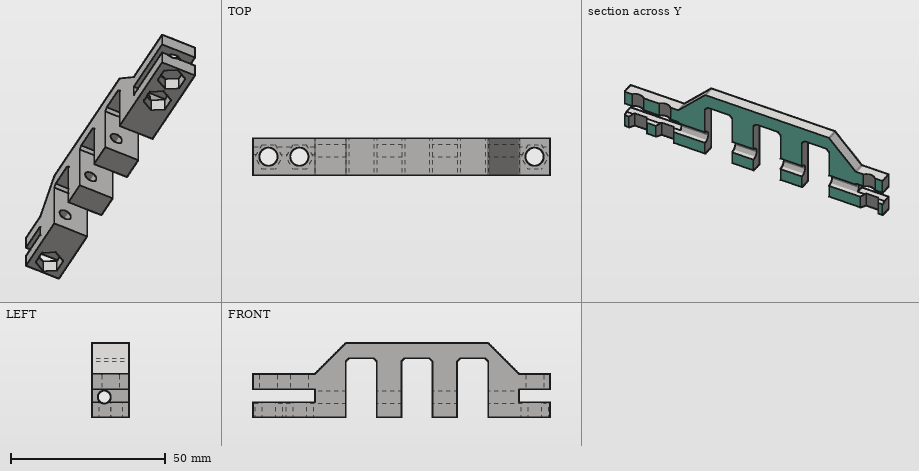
import math

import cadquery as cq

length = 96.0
width = 12.0

arm_thickness = 5.0
slot_height = 4.1
slot_top = arm_thickness + slot_height
end_height = slot_top + arm_thickness
bridge_rise = 10.0
height = end_height + bridge_rise

left_arm_length = 20.0
right_arm_length = 10.0
shoulder_run = bridge_rise
shoulder_radius = 0.5
bridge_start = left_arm_length + shoulder_run
bridge_end = length - right_arm_length - shoulder_run

window_count = 3
window_width = 10.0
bridge_thickness = 5.0
window_top = height - bridge_thickness
window_corner_chamfer = 1.0
window_pitch = (bridge_end - bridge_start - window_width) / (window_count - 1)

bolt_diameter = 5.8
nut_across_flats = 7.7
nut_sides = 6
nut_across_corners = nut_across_flats / math.cos(math.pi / nut_sides)
bolt_edge_distance = 5.0
bolt_spacing = 10.0
bolt_positions = [
    bolt_edge_distance,
    bolt_edge_distance + bolt_spacing,
    length - bolt_edge_distance,
]

rod_diameter = 4.1
rod_y = 2.0
rod_z = 6.6


def make_box(x_start, x_end, z_start, z_end):
    """Box across the full width, between the given X and Z limits."""
    box = cq.Workplane("XY").box(x_end - x_start, width, z_end - z_start, centered=(False, True, False))
    return box.translate((x_start, 0, z_start))


def make_body():
    """Solid side profile, with the ends of both shoulders slightly rounded."""
    outline = [
        (0, 0),
        (length, 0),
        (length, end_height),
        (bridge_end + shoulder_run, end_height),
        (bridge_end, height),
        (bridge_start, height),
        (left_arm_length, end_height),
        (0, end_height),
    ]
    body = cq.Workplane("XZ").polyline(outline).close().extrude(width / 2, both=True)
    shoulder_faces = body.faces("#Y").faces("not(|X or |Z)")
    return shoulder_faces.edges("|Y").fillet(shoulder_radius)


def make_window(x_start):
    """Window cutter with chamfered upper corners."""
    window = make_box(x_start, x_start + window_width, 0, window_top)
    return window.faces(">Z").edges("|Y").chamfer(window_corner_chamfer)


def make_bolt_hole(x):
    """Round hole through the upper arm, with a hexagonal hole through the lower arm."""
    bolt = cq.Workplane("XY").center(x, 0).circle(bolt_diameter / 2).extrude(end_height)
    nut = cq.Workplane("XY").center(x, 0).polygon(nut_sides, nut_across_corners).extrude(arm_thickness)
    return bolt.union(nut)


def make_rod_hole():
    return cq.Workplane("YZ").center(rod_y, rod_z).circle(rod_diameter / 2).extrude(length)


result = make_body()

result = result.cut(make_box(0, left_arm_length, arm_thickness, slot_top))
result = result.cut(make_box(length - right_arm_length, length, arm_thickness, slot_top))

for index in range(window_count):
    result = result.cut(make_window(bridge_start + index * window_pitch))

for bolt_x in bolt_positions:
    result = result.cut(make_bolt_hole(bolt_x))

result = result.cut(make_rod_hole())